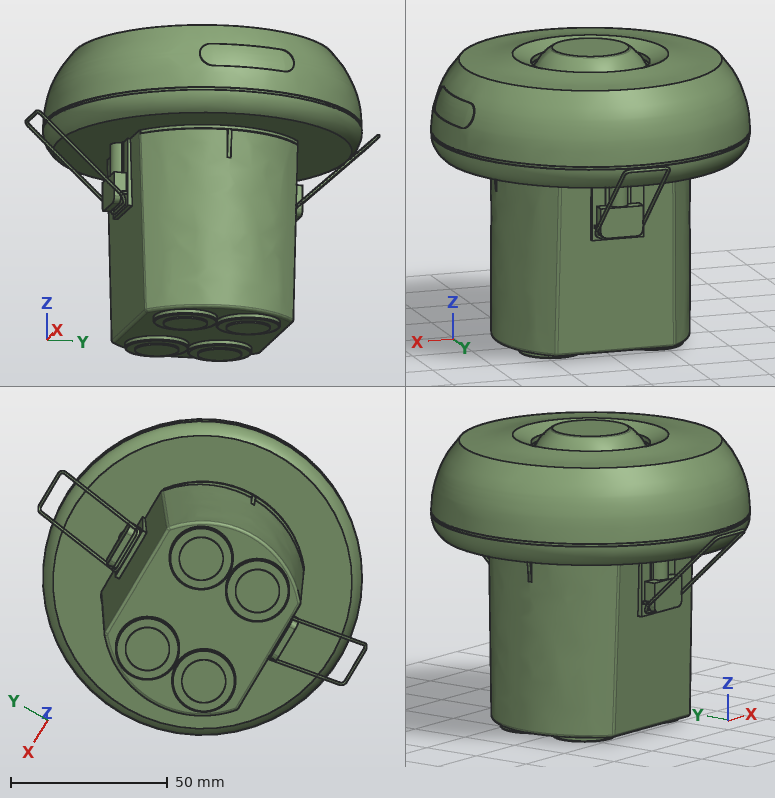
import cadquery as cq
import math


HEAD_RADIUS = 50.975
SEAM_Z = 7.6
SEAM_GROOVE_HEIGHT = 0.9
SEAM_GROOVE_DEPTH = 0.6
RIM_TOP_Z = SEAM_Z - SEAM_GROOVE_HEIGHT
RIM_FOOT_RADIUS = 47.7
SHOULDER_RADIUS = 42.0
SHOULDER_Z = 30.5
SADDLE_RADIUS = 32.2
SADDLE_Z = 31.1
CROWN_RADIUS = 24.9
CROWN_Z = 32.3
OPENING_RADIUS = 19.0
OPENING_Z = 29.9

SHELF_Z = 28.3
LENS_FOOT_RADIUS = 18.0
LENS_MID_RADIUS = 15.2
LENS_MID_Z = 32.2
LENS_SHOULDER_RADIUS = 12.75
LENS_TOP_RADIUS = 12.25
LENS_TOP_Z = 34.4
LENS_EDGE_DROP = 0.25

LABEL_LENGTH = 31.5
LABEL_HEIGHT = 8.0
LABEL_Z = 18.9
LABEL_DEPTH = 0.3
LABEL_ANGLE = 2.3

BOX_SIDE_X = 31.75
BOX_TOP_FLAT_WIDTH = 38.4
BOX_BOTTOM_FLAT_WIDTH = 40.0
BOX_TOP_FLAT_Y = 26.3
BOX_BOTTOM_FLAT_Y = 24.65
BOX_DEPTH = 60.0
BOX_CORNER_RADIUS = 1.5
BOX_FLOOR_FILLET = 1.0
FLANGE_RADIUS = 32.8
FLANGE_DEPTH = 1.1
FLANGE_HALF_WIDTH = 26.0
RIB_WIDTH = 1.2
RIB_DEPTH = 10.3

ENTRY_X = 17.0
ENTRY_Y = 10.4
ENTRY_RADIUS = 10.2
ENTRY_HEIGHT = 1.65
ENTRY_CHAMFER = 0.4
MEMBRANE_RADIUS = 7.0
TOTAL_HEIGHT = 96.59
MEMBRANE_DEPTH = TOTAL_HEIGHT - LENS_TOP_Z

PLATE_WIDTH = 17.4
PLATE_FACE_Y = 27.2
PLATE_INNER_Y = 24.0
PLATE_DEPTH = 22.1
POST_RADIUS = 3.1
POST_CENTRE_Y = 27.4
POST_BACKING_WIDTH = 8.4
POST_BACKING_FACE_Y = 27.6
BLOCK_WIDTH = 14.2
BLOCK_FACE_Y = 31.2
BLOCK_TOP_DEPTH = 10.9
BLOCK_BOTTOM_DEPTH = 20.7
BLOCK_CORNER_RADIUS = 2.0
NOTCH_FACE_Y = 29.0
NOTCH_TOP_DEPTH = 17.2

WIRE_DIAMETER = 0.9
WIRE_HALF_WIDTH = 7.5
WIRE_BEND_RADIUS = 1.7
CLIP_SPAN = 113.94
WIRE_TIP_Y = CLIP_SPAN / 2 - WIRE_DIAMETER / 2
WIRE_TIP_Z = 7.4
WIRE_ELBOW_Y = 28.6
WIRE_ELBOW_Z = -18.5
WIRE_FOOT_Y = 27.6
WIRE_FOOT_Z = -20.9
LUG_SIZE = 0.9
LUG_Z = -17.6


def head_radius_at(foot_radius, foot_z, tangent_z, z):
    """Radius at height z of an arc leaving (HEAD_RADIUS, tangent_z) vertically and ending at the foot."""
    inset = HEAD_RADIUS - foot_radius
    rise = foot_z - tangent_z
    arc_radius = (inset**2 + rise**2) / (2 * inset)
    return HEAD_RADIUS - arc_radius + math.sqrt(arc_radius**2 - (z - tangent_z)**2)


def box_between(width, y_inner, y_outer, z_bottom, z_top):
    """Block centred on X = 0 between the given Y and Z limits."""
    return cq.Workplane("XY").box(width, y_outer - y_inner, z_top - z_bottom).translate(
        (0, (y_inner + y_outer) / 2, (z_bottom + z_top) / 2)
    )


def cap_ring(inset=0.0):
    """Cap ring; with an inset, its outer side is moved in by that much."""
    side_mid_z = (SEAM_Z + SHOULDER_Z) / 2
    side_mid_radius = head_radius_at(SHOULDER_RADIUS, SHOULDER_Z, SEAM_Z, side_mid_z)
    return (
        cq.Workplane("XZ")
        .moveTo(OPENING_RADIUS, SEAM_Z)
        .lineTo(HEAD_RADIUS - inset, SEAM_Z)
        .threePointArc((side_mid_radius - inset, side_mid_z), (SHOULDER_RADIUS - inset, SHOULDER_Z))
        .threePointArc((SADDLE_RADIUS, SADDLE_Z), (CROWN_RADIUS, CROWN_Z))
        .lineTo(OPENING_RADIUS, OPENING_Z)
        .close()
        .revolve(360, (0, 0, 0), (0, 1, 0))
    )


def make_cap():
    label = (
        cq.Workplane("YZ")
        .center(0, LABEL_Z)
        .slot2D(LABEL_LENGTH, LABEL_HEIGHT)
        .extrude(HEAD_RADIUS)
        .rotate((0, 0, 0), (0, 0, 1), LABEL_ANGLE)
    )
    label_skin = label.intersect(cap_ring()).cut(cap_ring(LABEL_DEPTH))
    return cap_ring().cut(label_skin)


def base_head():
    """Rim below the cap, core filling the cap opening, and the lens dome on top of the core."""
    rim_mid_z = RIM_TOP_Z / 2
    rim_mid_radius = head_radius_at(RIM_FOOT_RADIUS, 0, RIM_TOP_Z, rim_mid_z)
    land_radius = HEAD_RADIUS - SEAM_GROOVE_DEPTH
    return (
        cq.Workplane("XZ")
        .moveTo(0, 0)
        .lineTo(RIM_FOOT_RADIUS, 0)
        .threePointArc((rim_mid_radius, rim_mid_z), (HEAD_RADIUS, RIM_TOP_Z))
        .lineTo(land_radius, RIM_TOP_Z)
        .lineTo(land_radius, SEAM_Z)
        .lineTo(OPENING_RADIUS, SEAM_Z)
        .lineTo(OPENING_RADIUS, SHELF_Z)
        .lineTo(LENS_FOOT_RADIUS, SHELF_Z)
        .threePointArc((LENS_MID_RADIUS, LENS_MID_Z), (LENS_SHOULDER_RADIUS, LENS_TOP_Z - LENS_EDGE_DROP))
        .lineTo(LENS_TOP_RADIUS, LENS_TOP_Z)
        .lineTo(0, LENS_TOP_Z)
        .close()
        .revolve(360, (0, 0, 0), (0, 1, 0))
    )


def box_section(flat_width, flat_y, z):
    """Outline of the box at height z: two flats joined by two round sides, with rounded corners."""
    corner_x = flat_width / 2
    outline = (
        cq.Workplane("XY")
        .workplane(offset=z)
        .moveTo(-corner_x, flat_y)
        .lineTo(corner_x, flat_y)
        .threePointArc((BOX_SIDE_X, 0), (corner_x, -flat_y))
        .lineTo(-corner_x, -flat_y)
        .threePointArc((-BOX_SIDE_X, 0), (-corner_x, flat_y))
        .close()
        .wire()
        .val()
    )
    return outline.fillet2D(BOX_CORNER_RADIUS, outline.Vertices())


def back_box():
    bottom = box_section(BOX_BOTTOM_FLAT_WIDTH, BOX_BOTTOM_FLAT_Y, -BOX_DEPTH)
    top = box_section(BOX_TOP_FLAT_WIDTH, BOX_TOP_FLAT_Y, 0)
    shell = cq.Workplane(cq.Solid.makeLoft([bottom, top], True))
    return shell.faces("<Z").edges().fillet(BOX_FLOOR_FILLET)


def box_flange():
    disc = cq.Workplane("XY").circle(FLANGE_RADIUS).extrude(-FLANGE_DEPTH)
    return disc.intersect(box_between(FLANGE_RADIUS * 2, -FLANGE_HALF_WIDTH, FLANGE_HALF_WIDTH, -FLANGE_DEPTH, 0))


def side_ribs():
    """Thin ribs on both round sides, tapering from the flange down into the wall."""
    return (
        cq.Workplane("XZ")
        .moveTo(-FLANGE_RADIUS, 0)
        .lineTo(FLANGE_RADIUS, 0)
        .lineTo(BOX_SIDE_X, -RIB_DEPTH)
        .lineTo(-BOX_SIDE_X, -RIB_DEPTH)
        .close()
        .extrude(RIB_WIDTH / 2, both=True)
    )


def cable_entries():
    corners = [(x, y) for x in (-ENTRY_X, ENTRY_X) for y in (-ENTRY_Y, ENTRY_Y)]
    floor = cq.Workplane("XY").workplane(offset=-BOX_DEPTH)
    discs = floor.pushPoints(corners).circle(ENTRY_RADIUS).extrude(-ENTRY_HEIGHT)
    discs = discs.faces("<Z").edges().chamfer(ENTRY_CHAMFER)
    membranes = floor.pushPoints(corners).circle(MEMBRANE_RADIUS).extrude(BOX_DEPTH - MEMBRANE_DEPTH)
    return discs.union(membranes)


def wire_u(start_y, start_z, end_y, end_z):
    """U of round wire: legs from the start line, closed by a cross bar on the end line."""
    length = math.hypot(end_y - start_y, end_z - start_z)
    along = cq.Vector(0, end_y - start_y, end_z - start_z)
    across = cq.Vector(1, 0, 0)
    plane = cq.Plane(origin=(0, start_y, start_z), xDir=across, normal=across.cross(along))
    bend_x = WIRE_HALF_WIDTH - WIRE_BEND_RADIUS
    bend_y = length - WIRE_BEND_RADIUS
    bend_mid = WIRE_BEND_RADIUS * math.sqrt(0.5)
    path = (
        cq.Workplane(plane)
        .moveTo(-WIRE_HALF_WIDTH, 0)
        .lineTo(-WIRE_HALF_WIDTH, bend_y)
        .threePointArc((-bend_x - bend_mid, bend_y + bend_mid), (-bend_x, length))
        .lineTo(bend_x, length)
        .threePointArc((bend_x + bend_mid, bend_y + bend_mid), (WIRE_HALF_WIDTH, bend_y))
        .lineTo(WIRE_HALF_WIDTH, 0)
    )
    section = cq.Workplane(cq.Plane(plane.toWorldCoords((-WIRE_HALF_WIDTH, 0)), across, along))
    return section.circle(WIRE_DIAMETER / 2).sweep(path)


def spring_clip():
    """Mount and spring wire on the +Y flat."""
    plate = box_between(PLATE_WIDTH, PLATE_INNER_Y, PLATE_FACE_Y, -PLATE_DEPTH, 0)
    post = cq.Workplane("XY").center(0, POST_CENTRE_Y).circle(POST_RADIUS).extrude(-BLOCK_TOP_DEPTH)
    backing = box_between(POST_BACKING_WIDTH, PLATE_INNER_Y, POST_BACKING_FACE_Y, -BLOCK_TOP_DEPTH, 0)
    block = box_between(BLOCK_WIDTH, PLATE_INNER_Y, BLOCK_FACE_Y, -BLOCK_BOTTOM_DEPTH, -BLOCK_TOP_DEPTH)
    block = block.edges("|Y and <Z").fillet(BLOCK_CORNER_RADIUS)
    notch = box_between(BLOCK_WIDTH, PLATE_FACE_Y, NOTCH_FACE_Y, -BLOCK_BOTTOM_DEPTH, -NOTCH_TOP_DEPTH)
    clip = plate.union(post).union(backing).union(block.cut(notch))

    clip = clip.union(wire_u(WIRE_ELBOW_Y, WIRE_ELBOW_Z, WIRE_TIP_Y, WIRE_TIP_Z))
    clip = clip.union(wire_u(WIRE_ELBOW_Y, WIRE_ELBOW_Z, WIRE_FOOT_Y, WIRE_FOOT_Z))
    for side in (-1, 1):
        x = side * WIRE_HALF_WIDTH
        elbow = cq.Workplane("XY").sphere(WIRE_DIAMETER / 2).translate((x, WIRE_ELBOW_Y, WIRE_ELBOW_Z))
        lug = box_between(
            LUG_SIZE, PLATE_INNER_Y, WIRE_ELBOW_Y, LUG_Z - LUG_SIZE / 2, LUG_Z + LUG_SIZE / 2
        ).translate((x, 0, 0))
        clip = clip.union(elbow).union(lug)
    return clip


def make_base():
    base = base_head().union(back_box()).union(box_flange()).union(side_ribs()).union(cable_entries())
    for angle in (0, 180):
        base = base.union(spring_clip().rotate((0, 0, 0), (0, 0, 1), angle))
    return base


cap = make_cap()
base = make_base()
result = cq.Compound.makeCompound([cap.solids().val(), base.solids().val()])